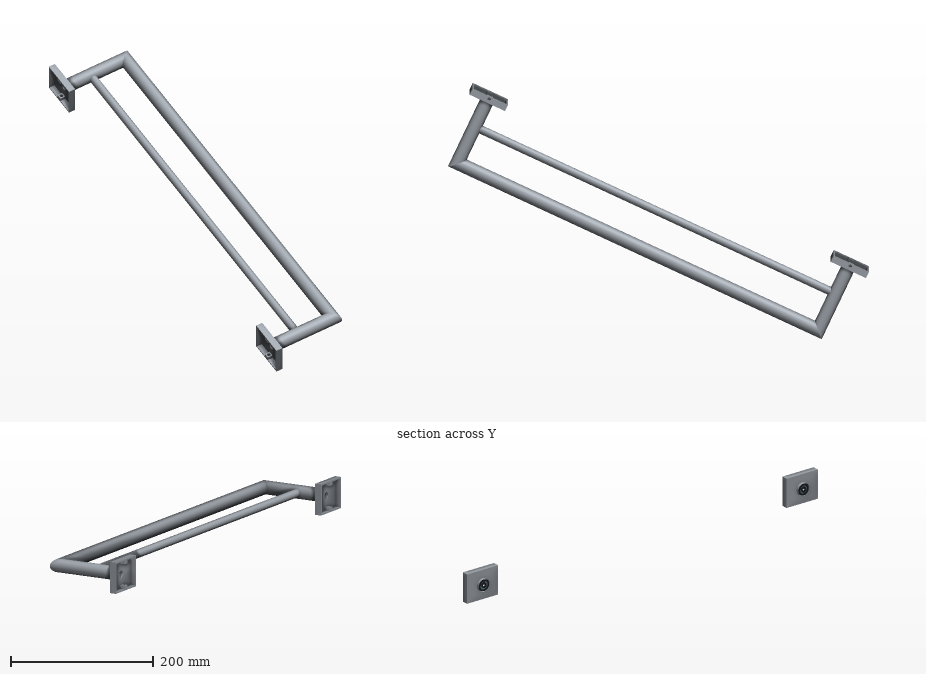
import cadquery as cq

total_length = 616.0
total_depth = 119.0

plate_width = 55.0
plate_height = 45.0
plate_thickness = 10.0
plate_wall = 2.0
recess_depth = 8.0
tab_width = 8.0
tab_height = 5.0
tab_hole_radius = 2.5
plate_hole_radius = 5.0

bar_radius = 10.0
rod_radius = 6.0
rod_y = 52.0

socket_wall = 0.9
plug_length = 7.5
plug_hole_radius = 2.8
groove_radius = 8.0
groove_start = 2.15
groove_width = 4.0

arm_x = (total_length - plate_width) / 2
bar_y = total_depth - bar_radius
recess_width = plate_width - 2 * plate_wall
recess_height = plate_height - 2 * plate_wall
plug_radius = bar_radius - socket_wall
plug_end = plate_thickness + plug_length


def y_cylinder(radius, y_start, y_end):
    """Cylinder on the arm axis, at X = arm_x."""
    base = cq.Workplane("XZ", origin=(arm_x, y_start, 0))
    return base.circle(radius).extrude(y_start - y_end)


def x_cylinder(radius, y, length):
    """Cylinder along X, centred on X = 0."""
    return cq.Workplane("YZ", origin=(0, y, 0)).circle(radius).extrude(length / 2, both=True)


def wall_box(width, depth, height, z=0):
    """Box that stands on the wall plane, centred on the arm axis in X and on z in Z."""
    box = cq.Workplane("XY").box(width, depth, height, centered=(True, False, True))
    return box.translate((arm_x, 0, z))


def both_sides(body):
    """The body at +X and its mirror image at -X."""
    return [body, body.mirror("YZ")]


def corner_prism():
    """Prism that holds the long bar, ending at the two 45 degree miter planes."""
    outer_x = arm_x + bar_radius
    inner_x = arm_x - bar_radius
    outline = [
        (-outer_x, bar_y + bar_radius),
        (outer_x, bar_y + bar_radius),
        (inner_x, bar_y - bar_radius),
        (-inner_x, bar_y - bar_radius),
    ]
    prism = cq.Workplane("XY").polyline(outline).close()
    return prism.extrude(bar_radius, both=True)


def make_plate():
    plate = wall_box(plate_width, plate_thickness, plate_height)
    plate = plate.cut(wall_box(recess_width, recess_depth, recess_height))
    tab_z = (recess_height - tab_height) / 2
    for z in (-tab_z, tab_z):
        plate = plate.union(wall_box(tab_width, recess_depth, tab_height, z))
    plate = plate.cut(y_cylinder(plate_hole_radius, 0, plate_thickness))
    tab_hole = cq.Workplane("XY", origin=(arm_x, recess_depth / 2, -plate_height / 2))
    return plate.cut(tab_hole.circle(tab_hole_radius).extrude(plate_wall + tab_height))


def make_arm():
    arm = y_cylinder(bar_radius, plate_thickness, total_depth).cut(corner_prism())
    return arm.cut(y_cylinder(plug_radius, plate_thickness, plug_end))


def make_plug():
    plug = y_cylinder(plug_radius, plate_thickness, plug_end)
    groove_y = plate_thickness + groove_start
    groove = y_cylinder(plug_radius, groove_y, groove_y + groove_width)
    groove = groove.cut(y_cylinder(groove_radius, groove_y, groove_y + groove_width))
    return plug.cut(groove).cut(y_cylinder(plug_hole_radius, plate_thickness, plug_end))


def make_bar():
    bar = x_cylinder(bar_radius, bar_y, 2 * (arm_x + bar_radius))
    return bar.intersect(corner_prism())


def make_rod():
    rod = x_cylinder(rod_radius, rod_y, 2 * arm_x)
    for arm_core in both_sides(y_cylinder(bar_radius, 0, total_depth)):
        rod = rod.cut(arm_core)
    return rod


plates = both_sides(make_plate())
arms = both_sides(make_arm())
plugs = both_sides(make_plug())
bar = make_bar()
rod = make_rod()

result = cq.Compound.makeCompound([body.val() for body in [*plates, *arms, *plugs, bar, rod]])